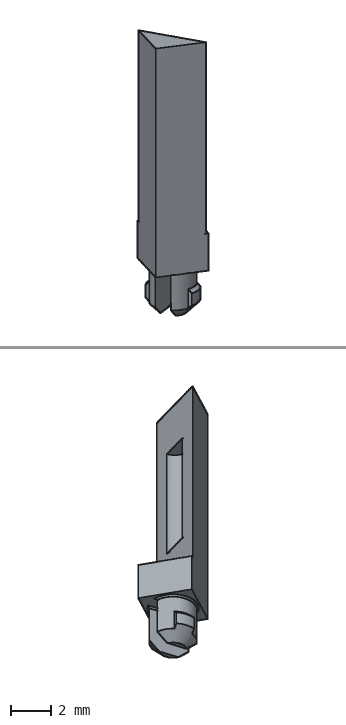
import cadquery as cq

total_height = 14.8
block_side = 2.8
half_side = block_side / 2
peg_length = 2.5
block_height = 2.0

blade_inset = 0.13

pocket_radius = 0.81
pocket_height = 6.0
pocket_depth_below_top = 2.5
pocket_bottom = total_height - pocket_depth_below_top - pocket_height

peg_radius = 1.2
tip_chamfer = 0.5
neck_flare = 0.09
slot_width = 0.86

lug_radius = 1.39
lug_top = 1.35
lug_width = 1.0
lug_step = lug_radius - peg_radius

diagonal_angle = 45.0


def make_block():
    block = cq.Workplane("XY").workplane(offset=peg_length).rect(block_side, block_side)
    return block.extrude(block_height)


def make_blade():
    corners = [
        (blade_inset - half_side, -half_side),
        (half_side, -half_side),
        (half_side, half_side - blade_inset),
    ]
    blade = cq.Workplane("XY").workplane(offset=peg_length).polyline(corners).close()
    return blade.extrude(total_height - peg_length)


def make_pocket():
    """Vertical cylinder centred on the blade face, its floor rising at 45 degrees into the blade."""
    cylinder = cq.Workplane("XY").workplane(offset=pocket_bottom).circle(pocket_radius)
    cylinder = cylinder.extrude(pocket_height)
    floor_wedge = (
        cq.Workplane("YZ")
        .polyline([
            (0, pocket_bottom),
            (-pocket_radius, pocket_bottom),
            (-pocket_radius, pocket_bottom + pocket_radius),
        ])
        .close()
        .extrude(pocket_radius, both=True)
    )
    pocket = cylinder.cut(floor_wedge)
    pocket = pocket.rotate((0, 0, 0), (0, 0, 1), diagonal_angle)
    return pocket.translate((blade_inset / 2, -blade_inset / 2, 0))


def make_cone(small_radius, height):
    """Solid cone widening upwards from Z = 0 at 45 degrees."""
    profile = [(0, 0), (small_radius, 0), (small_radius + height, height), (0, height)]
    return cq.Workplane("XZ").polyline(profile).close().revolve(360, (0, 0, 0), (0, 1, 0))


def make_lugs():
    """Bar across the peg with rounded ends, beveled above at 45 degrees."""
    profile = [(0, 0), (lug_radius, 0), (lug_radius, lug_top), (0, lug_top + lug_radius)]
    ring = cq.Workplane("XZ").polyline(profile).close().revolve(360, (0, 0, 0), (0, 1, 0))
    bar = cq.Workplane("XY").box(
        2 * lug_radius, lug_width, lug_top + lug_step, centered=(True, True, False)
    )
    return ring.intersect(bar)


def make_slot():
    """Slot splitting the peg, narrowing at its root to match the flare."""
    half_width = slot_width / 2
    flare_start = peg_length - neck_flare
    profile = [
        (-half_width, 0),
        (half_width, 0),
        (half_width, flare_start),
        (half_width - neck_flare, peg_length),
        (neck_flare - half_width, peg_length),
        (-half_width, flare_start),
    ]
    return cq.Workplane("XZ").polyline(profile).close().extrude(2 * peg_radius, both=True)


def make_peg():
    """Round split peg with two lugs, a common tip cone and a flared root."""
    peg = cq.Workplane("XY").circle(peg_radius).extrude(peg_length)
    peg = peg.union(make_lugs()).intersect(make_cone(peg_radius - tip_chamfer, peg_length))
    flare = make_cone(peg_radius, neck_flare).translate((0, 0, peg_length - neck_flare))
    peg = peg.union(flare).cut(make_slot())
    return peg.rotate((0, 0, 0), (0, 0, 1), diagonal_angle)


result = make_block().union(make_blade()).cut(make_pocket()).union(make_peg())